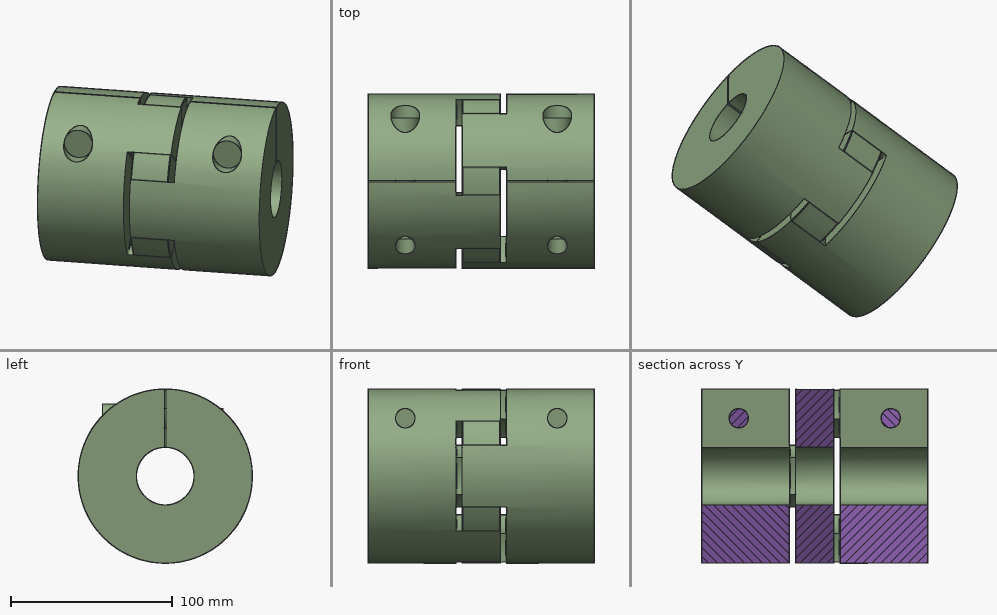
import cadquery as cq
import math

TOTAL_LENGTH = 140.0
OUTER_DIAMETER = 108.0
BORE_RADIUS = 17.8
HUB_LENGTH = 54.3
JAW_CLEARANCE = 3.8

JAW_COUNT = 3
JAW_INNER_RADIUS = 36.1
JAW_INNER_HALF_ANGLE = 18.6
JAW_OUTER_HALF_ANGLE = 20.8
JAW_STOCK_RADIUS = 57.4
JAW_STOCK_HALF_ANGLE = 22.0
HUB_STOCK_RADIUS = 58.8
JAW_ROOT_FILLET = 0.5

LEG_EDGE_FILLET = 0.5

SLIT_WIDTH = 1.02
SCREW_INSET = 23.0
SCREW_HEIGHT = 35.8
SHANK_RADIUS = 6.0
HEAD_RADIUS = 9.0
HEAD_END_Y = 38.9
HEAD_LENGTH = 12.0
SHANK_END_Y = -35.8

TOLERANCE = 0.01

OUTER_RADIUS = OUTER_DIAMETER / 2
HALF_LENGTH = TOTAL_LENGTH / 2
HUB_GAP = TOTAL_LENGTH - 2 * HUB_LENGTH
JAW_LENGTH = HUB_GAP - JAW_CLEARANCE
SPIDER_WIDTH = HUB_GAP - 2 * JAW_CLEARANCE
JAW_PITCH = 360.0 / JAW_COUNT
HEAD_SEAT_Y = HEAD_END_Y - HEAD_LENGTH
LEFT_JAW_ANGLE = 0.0
RIGHT_JAW_ANGLE = JAW_PITCH / 2


def tube(x_start, length, radius):
    """Bored cylinder along X."""
    return (
        cq.Workplane("YZ", origin=(x_start, 0, 0))
        .circle(radius)
        .circle(BORE_RADIUS)
        .extrude(length)
    )


def polar(radius, degrees):
    """Y and Z of a point at an angle measured from +Y."""
    angle = math.radians(degrees)
    return radius * math.cos(angle), radius * math.sin(angle)


def jaw(x_start, length, centre_angle):
    """One claw with hollow flanks, drawn around +Y and turned about X to its centre angle."""
    inner_y, inner_z = polar(JAW_INNER_RADIUS, JAW_INNER_HALF_ANGLE)
    outer_y, outer_z = polar(OUTER_RADIUS, JAW_OUTER_HALF_ANGLE)
    stock_y, stock_z = polar(JAW_STOCK_RADIUS, JAW_STOCK_HALF_ANGLE)
    return (
        cq.Workplane("YZ", origin=(x_start, 0, 0))
        .moveTo(inner_y, -inner_z)
        .threePointArc((outer_y, -outer_z), (stock_y, -stock_z))
        .threePointArc((JAW_STOCK_RADIUS, 0), (stock_y, stock_z))
        .threePointArc((outer_y, outer_z), (inner_y, inner_z))
        .threePointArc((JAW_INNER_RADIUS, 0), (inner_y, -inner_z))
        .close()
        .extrude(length)
        .rotate((0, 0, 0), (1, 0, 0), centre_angle)
    )


def round_jaw_roots(body, root_x):
    """Fillet the inside corners where the jaw flanks and inner faces meet the hub face."""

    def is_root_edge(edge):
        start, middle = edge.startPoint(), edge.positionAt(0.5)
        on_hub_face = max(abs(start.x - root_x), abs(middle.x - root_x)) < TOLERANCE
        radius = math.hypot(middle.y, middle.z)
        return on_hub_face and BORE_RADIUS + TOLERANCE < radius < OUTER_RADIUS

    return body.edges().filter(is_root_edge).fillet(JAW_ROOT_FILLET)


def rod_along_y(x, radius, y_start, y_end):
    """Cylinder at screw height, parallel to Y."""
    return (
        cq.Workplane("XZ", origin=(x, y_start, SCREW_HEIGHT))
        .circle(radius)
        .extrude(y_start - y_end)
    )


def make_hub(x_start, root_x, jaw_start, first_jaw_angle, screw_x):
    """Clamping hub: three jaws, a slit above the bore, and a stepped screw hole across the slit.

    x_start and jaw_start are the low-X ends of the tube and jaws; root_x is the face carrying the jaws.
    """
    body = tube(x_start, HUB_LENGTH, HUB_STOCK_RADIUS)
    for index in range(JAW_COUNT):
        body = body.union(jaw(jaw_start, JAW_LENGTH, first_jaw_angle + index * JAW_PITCH))
    body = round_jaw_roots(body, root_x)
    body = body.intersect(cq.Workplane("YZ").circle(OUTER_RADIUS).extrude(HALF_LENGTH, both=True))
    slit = cq.Workplane("XY").box(HUB_LENGTH, SLIT_WIDTH, OUTER_RADIUS, centered=(False, True, False))
    body = body.cut(slit.translate((x_start, 0, 0)))
    body = body.cut(rod_along_y(screw_x, SHANK_RADIUS, -OUTER_RADIUS, HEAD_SEAT_Y))
    return body.cut(rod_along_y(screw_x, HEAD_RADIUS, HEAD_SEAT_Y, OUTER_RADIUS))


def make_spider():
    """Elastic ring with one crowned leg in every space between neighbouring jaws."""
    start = -SPIDER_WIDTH / 2
    body = tube(start, SPIDER_WIDTH, OUTER_RADIUS)
    for index in range(2 * JAW_COUNT):
        body = body.cut(jaw(start, SPIDER_WIDTH, index * JAW_PITCH / 2))

    def is_leg_tip_edge(edge):
        ends = (edge.startPoint(), edge.endPoint())
        return all(abs(math.hypot(end.y, end.z) - OUTER_RADIUS) < TOLERANCE for end in ends)

    return body.edges().filter(is_leg_tip_edge).fillet(LEG_EDGE_FILLET)


def make_screw(x):
    """Cap screw with its head toward +Y."""
    shank = rod_along_y(x, SHANK_RADIUS, SHANK_END_Y, HEAD_SEAT_Y)
    return shank.union(rod_along_y(x, HEAD_RADIUS, HEAD_SEAT_Y, HEAD_END_Y))


left_screw_x = -HALF_LENGTH + SCREW_INSET
right_screw_x = HALF_LENGTH - SCREW_INSET
left_root_x = -HALF_LENGTH + HUB_LENGTH
right_root_x = HALF_LENGTH - HUB_LENGTH

left_hub = make_hub(-HALF_LENGTH, left_root_x, left_root_x, LEFT_JAW_ANGLE, left_screw_x)
right_hub = make_hub(
    right_root_x, right_root_x, right_root_x - JAW_LENGTH, RIGHT_JAW_ANGLE, right_screw_x
)
spider = make_spider()
screws = [make_screw(x) for x in (left_screw_x, right_screw_x)]

result = cq.Compound.makeCompound(
    [left_hub.val(), right_hub.val(), spider.val(), *[screw.val() for screw in screws]]
)